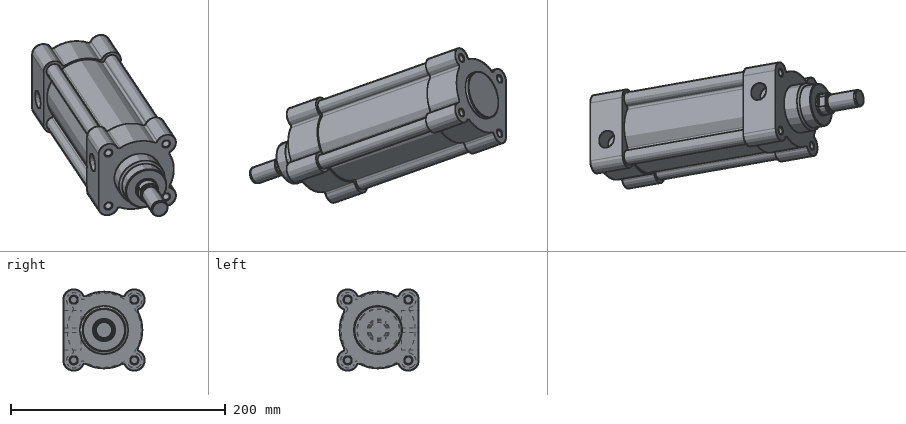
import cadquery as cq
import math

TOTAL_LENGTH = 274.0
REAR_BOSS_LENGTH = 3.5
CAP_LENGTH = 35.0
BARREL_LENGTH = 131.5
REAR_CAP_X = REAR_BOSS_LENGTH
BARREL_X = REAR_CAP_X + CAP_LENGTH
FRONT_CAP_X = BARREL_X + BARREL_LENGTH
FRONT_BOSS_X = FRONT_CAP_X + CAP_LENGTH

CAP_WIDTH = 76.0
LOBE_OFFSET = 28.2
BLEND_RADIUS = 2.0
CAP_BODY_RADIUS = 36.0
CAP_LOBE_RADIUS = CAP_WIDTH / 2 - LOBE_OFFSET
BARREL_BODY_RADIUS = 34.5
BARREL_LOBE_RADIUS = 6.8

PORT_DIAMETER = 16.5
PORT_DEPTH = 16.5
PORT_RISE = 10.1
REAR_PORT_X = 21.5
FRONT_PORT_X = 187.0
TIE_HOLE_DIAMETER = 6.8
TIE_HOLE_DEPTH = 13.7
TIE_HOLE_CHAMFER = 0.5

BOSS_RADIUS = 22.5
BOSS_CHAMFER = 0.5
FRONT_BOSS_LENGTH = 14.0
GUIDE_RADIUS = 20.0
GUIDE_TAPER_LENGTH = 1.6
GUIDE_LENGTH = 11.5
WIPER_RADIUS = 10.5
WIPER_LENGTH = 2.0

ROD_RADIUS = 10.0
ROD_CHAMFER = 0.5
SHOULDER_X = 242.0
FLAT_START_X = 235.0
ACROSS_FLATS = 17.3
THREAD_RADIUS = 8.0
THREAD_CHAMFER = 0.5
NECK_RADIUS = THREAD_RADIUS - THREAD_CHAMFER
NECK_LENGTH = 1.5
THREAD_TIP_CHAMFER_LENGTH = 1.6


def polar(radius, angle):
    """Point at a radius and an angle in degrees."""
    return cq.Vector(radius * math.cos(math.radians(angle)), radius * math.sin(math.radians(angle)))


def lobed_prism(start_x, length, body_radius, lobe_radius):
    """Prism along X: a round body with four corner lobes, joined by tangent concave blends."""
    lobe_distance = LOBE_OFFSET * math.sqrt(2)
    blend_distance = body_radius + BLEND_RADIUS
    reach = lobe_radius + BLEND_RADIUS
    cosine = (blend_distance**2 + lobe_distance**2 - reach**2) / (2 * blend_distance * lobe_distance)
    blend_angle = math.degrees(math.acos(cosine))

    def blend_points(lobe_angle, side):
        """Points of one blend: on the body, halfway, and on the lobe."""
        lobe = polar(lobe_distance, lobe_angle)
        angle = lobe_angle + side * blend_angle
        centre = polar(blend_distance, angle)
        on_body = polar(body_radius, angle)
        on_lobe = lobe + (centre - lobe).normalized() * lobe_radius
        halfway = centre + ((on_body + on_lobe) * 0.5 - centre).normalized() * BLEND_RADIUS
        return on_body, halfway, on_lobe

    lobe_angles = [45, 135, 225, 315]
    start = blend_points(lobe_angles[0], -1)[0]
    outline = cq.Workplane("YZ", origin=(start_x, 0, 0)).moveTo(start.x, start.y)
    for angle in lobe_angles:
        body_in, halfway_in, lobe_in = blend_points(angle, -1)
        body_out, halfway_out, lobe_out = blend_points(angle, 1)
        next_body = blend_points(angle + 90, -1)[0]
        lobe_tip = polar(lobe_distance + lobe_radius, angle)
        body_middle = polar(body_radius, angle + 45)
        for middle, end in (
            (halfway_in, lobe_in),
            (lobe_tip, lobe_out),
            (halfway_out, body_out),
            (body_middle, next_body),
        ):
            outline = outline.threePointArc((middle.x, middle.y), (end.x, end.y))
    return outline.close().extrude(length)


def turned(points):
    """Solid of revolution about X from (x, radius) points, closed along the axis."""
    first_x = points[0][0]
    last_x = points[-1][0]
    profile = [(first_x, 0), *points, (last_x, 0)]
    return cq.Workplane("XY").polyline(profile).close().revolve(360, (0, 0, 0), (1, 0, 0))


def cap_block(start_x, port_x, port_z):
    """Lobed cap with a flat -Y side that carries the air port."""
    cap = lobed_prism(start_x, CAP_LENGTH, CAP_BODY_RADIUS, CAP_LOBE_RADIUS)
    flat_side = cq.Workplane("XY").box(
        CAP_LENGTH, CAP_WIDTH / 2, 2 * LOBE_OFFSET, centered=(False, False, True)
    ).translate((start_x, -CAP_WIDTH / 2, 0))
    port = (
        cq.Workplane("XZ", origin=(port_x, -CAP_WIDTH / 2, port_z))
        .circle(PORT_DIAMETER / 2)
        .extrude(-PORT_DEPTH)
    )
    return cap.union(flat_side).cut(port)


def tie_holes(face_x, inward):
    """Four chamfered blind holes on the lobe centres; inward is +1 or -1 along X."""
    mouth_radius = TIE_HOLE_DIAMETER / 2 + TIE_HOLE_CHAMFER
    hole = turned(
        [
            (face_x, mouth_radius),
            (face_x + inward * TIE_HOLE_CHAMFER, TIE_HOLE_DIAMETER / 2),
            (face_x + inward * TIE_HOLE_DEPTH, TIE_HOLE_DIAMETER / 2),
        ]
    )
    holes = cq.Workplane("XY")
    for y in (-LOBE_OFFSET, LOBE_OFFSET):
        for z in (-LOBE_OFFSET, LOBE_OFFSET):
            holes = holes.add(hole.translate((0, y, z)))
    return holes.combine()


def make_rear_cap():
    boss = turned(
        [
            (0, BOSS_RADIUS - BOSS_CHAMFER),
            (BOSS_CHAMFER, BOSS_RADIUS),
            (REAR_CAP_X, BOSS_RADIUS),
        ]
    )
    return cap_block(REAR_CAP_X, REAR_PORT_X, -PORT_RISE).cut(tie_holes(REAR_CAP_X, 1)).union(boss)


def make_barrel():
    return lobed_prism(BARREL_X, BARREL_LENGTH, BARREL_BODY_RADIUS, BARREL_LOBE_RADIUS)


def make_front_cap():
    boss_end = FRONT_BOSS_X + FRONT_BOSS_LENGTH
    guide_end = boss_end + GUIDE_TAPER_LENGTH + GUIDE_LENGTH
    nose = turned(
        [
            (FRONT_BOSS_X, BOSS_RADIUS),
            (boss_end, BOSS_RADIUS),
            (boss_end + GUIDE_TAPER_LENGTH, GUIDE_RADIUS),
            (guide_end - BOSS_CHAMFER, GUIDE_RADIUS),
            (guide_end, GUIDE_RADIUS - BOSS_CHAMFER),
            (guide_end, WIPER_RADIUS),
            (guide_end + WIPER_LENGTH, WIPER_RADIUS),
        ]
    )
    cap = cap_block(FRONT_CAP_X, FRONT_PORT_X, PORT_RISE)
    cap = cap.cut(tie_holes(FRONT_BOSS_X, -1)).union(nose)
    rod_bore = turned([(FRONT_CAP_X, ROD_RADIUS), (SHOULDER_X, ROD_RADIUS)])
    return cap.cut(rod_bore)


def make_rod():
    neck_end = SHOULDER_X + NECK_LENGTH
    rod = turned(
        [
            (FRONT_CAP_X, ROD_RADIUS),
            (SHOULDER_X - ROD_CHAMFER, ROD_RADIUS),
            (SHOULDER_X, ROD_RADIUS - ROD_CHAMFER),
            (SHOULDER_X, NECK_RADIUS),
            (neck_end, NECK_RADIUS),
            (neck_end + THREAD_CHAMFER, THREAD_RADIUS),
            (TOTAL_LENGTH - THREAD_TIP_CHAMFER_LENGTH, THREAD_RADIUS),
            (TOTAL_LENGTH, NECK_RADIUS),
        ]
    )
    flat_length = SHOULDER_X - FLAT_START_X
    for side in (-1, 1):
        waste = cq.Workplane("XY").box(flat_length, ROD_RADIUS, 2 * ROD_RADIUS)
        waste_y = side * (ACROSS_FLATS + ROD_RADIUS) / 2
        rod = rod.cut(waste.translate((FLAT_START_X + flat_length / 2, waste_y, 0)))
    return rod


rear_cap = make_rear_cap()
barrel = make_barrel()
front_cap = make_front_cap()
rod = make_rod()

result = cq.Compound.makeCompound([rear_cap.val(), barrel.val(), front_cap.val(), rod.val()])